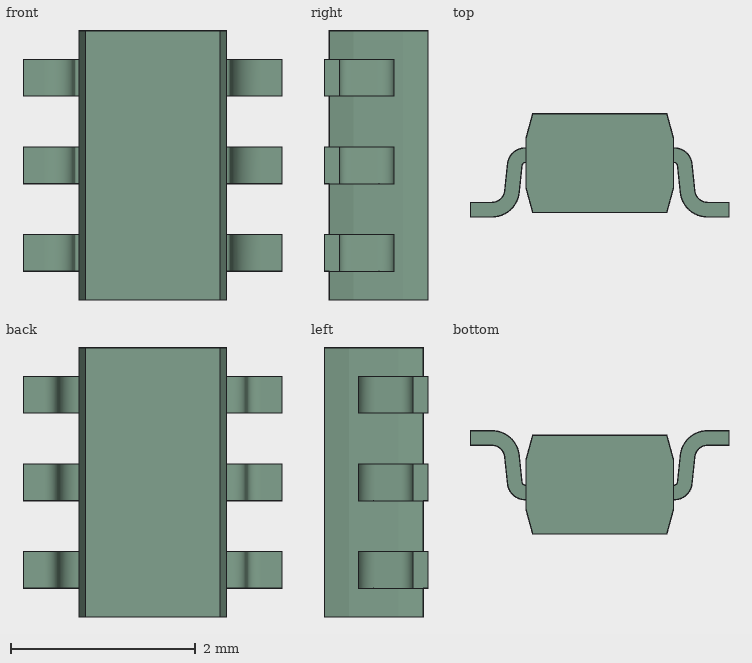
import cadquery as cq
import math

overall_width = 2.8
overall_depth = 1.12
housing_height = 2.92
housing_width = 1.6
standoff = 0.05
side_taper = 0.073
housing_depth = overall_depth - standoff
taper_depth = housing_depth / 4

lead_count_per_side = 3
lead_pitch = 0.95
lead_width = 0.4
lead_thickness = 0.16
lead_top = 0.75
shoulder_length = 0.005
shoulder_inner_radius = 0.035
foot_inner_radius = 0.137
web_tilt = math.radians(6)

shoulder_outer_radius = shoulder_inner_radius + lead_thickness
foot_outer_radius = foot_inner_radius + lead_thickness


def make_housing():
    """Prism whose two sides taper in toward the front and back faces."""
    side = housing_width / 2
    face = side - side_taper
    front = standoff
    back = overall_depth
    outline = [
        (-face, front),
        (face, front),
        (side, front + taper_depth),
        (side, back - taper_depth),
        (face, back),
        (-face, back),
        (-side, back - taper_depth),
        (-side, front + taper_depth),
    ]
    return (
        cq.Workplane("XY")
        .workplane(offset=-housing_height / 2)
        .polyline(outline)
        .close()
        .extrude(housing_height)
    )


def point_on_bend(center, radius, angle):
    return (center[0] + radius * math.cos(angle), center[1] + radius * math.sin(angle))


def make_lead(z_center):
    """Right-hand gull-wing lead: shoulder, tilted web and flat foot."""
    root_x = housing_width / 2
    tip_x = overall_width / 2

    shoulder_center = (root_x + shoulder_length, lead_top - shoulder_outer_radius)
    center_spacing = shoulder_outer_radius + foot_inner_radius
    center_drop = shoulder_center[1] - foot_outer_radius
    web_length = (center_drop + center_spacing * math.sin(web_tilt)) / math.cos(web_tilt)
    foot_center = (
        shoulder_center[0] + center_spacing * math.cos(web_tilt) + web_length * math.sin(web_tilt),
        foot_outer_radius,
    )

    shoulder_start = math.pi / 2
    shoulder_end = web_tilt
    shoulder_middle = (shoulder_start + shoulder_end) / 2
    foot_start = math.pi + web_tilt
    foot_end = 3 * math.pi / 2
    foot_middle = (foot_start + foot_end) / 2

    profile = (
        cq.Workplane("XY")
        .workplane(offset=z_center - lead_width / 2)
        .moveTo(root_x, lead_top)
        .lineTo(shoulder_center[0], lead_top)
        .threePointArc(
            point_on_bend(shoulder_center, shoulder_outer_radius, shoulder_middle),
            point_on_bend(shoulder_center, shoulder_outer_radius, shoulder_end),
        )
        .lineTo(*point_on_bend(foot_center, foot_inner_radius, foot_start))
        .threePointArc(
            point_on_bend(foot_center, foot_inner_radius, foot_middle),
            point_on_bend(foot_center, foot_inner_radius, foot_end),
        )
        .lineTo(tip_x, lead_thickness)
        .lineTo(tip_x, 0)
        .lineTo(foot_center[0], 0)
        .threePointArc(
            point_on_bend(foot_center, foot_outer_radius, foot_middle),
            point_on_bend(foot_center, foot_outer_radius, foot_start),
        )
        .lineTo(*point_on_bend(shoulder_center, shoulder_inner_radius, shoulder_end))
        .threePointArc(
            point_on_bend(shoulder_center, shoulder_inner_radius, shoulder_middle),
            point_on_bend(shoulder_center, shoulder_inner_radius, shoulder_start),
        )
        .lineTo(root_x, lead_top - lead_thickness)
        .close()
    )
    return profile.extrude(lead_width)


housing = make_housing()

leads = []
for row in range(lead_count_per_side):
    row_z = (row - (lead_count_per_side - 1) / 2) * lead_pitch
    right_lead = make_lead(row_z)
    leads.append(right_lead.val())
    leads.append(right_lead.mirror("YZ").val())

result = cq.Compound.makeCompound([housing.val(), *leads])